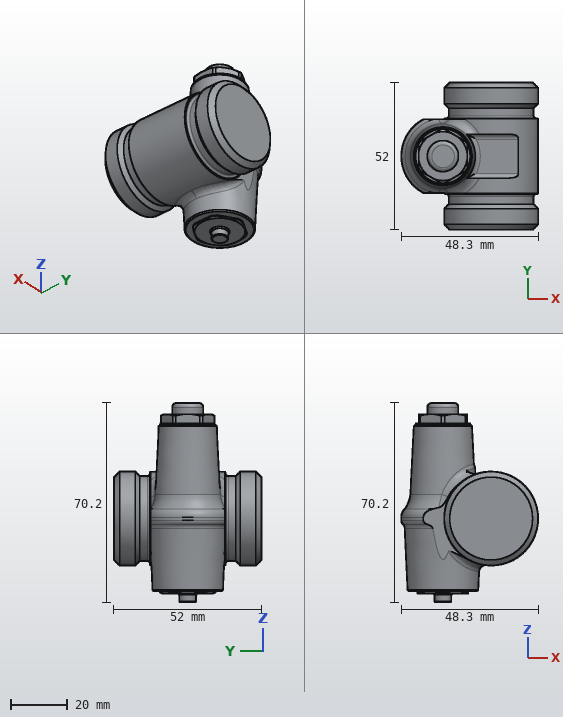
import cadquery as cq
import math

TOWER_X = -17.0

COLLAR_RADIUS = 16.6
COLLAR_CHAMFER = 2.0
COLLAR_LAND = 5.5
RUN_HALF_LENGTH = 26.0
NECK_RADIUS = 15.0
BARREL_RADIUS = 16.5
BARREL_HALF_LENGTH = 13.4
BARREL_EDGE = 0.3
NECK_FILLET = 0.8

FLAT_HALF_WIDTH = 13.0
UPPER_TOP_Z = 33.0
UPPER_TOP_RADIUS = 10.3
UPPER_BASE_Z = 8.6
UPPER_BASE_RADIUS = 11.5
GIRDLE_RADIUS = 14.69
GIRDLE_TOP_Z = 0.5
GIRDLE_BOTTOM_Z = -0.6
LOWER_TOP_Z = -3.5
LOWER_TOP_RADIUS = 13.5
LOWER_BASE_Z = -25.6
LOWER_BASE_RADIUS = 12.5
SLEEVE_EDGE = 0.5
UPPER_BLEND = 3.2
LOWER_BLEND = 2.4

ABOVE_GIRDLE_MID = (14.4, 2.0)
FLARE_END = (13.4, 3.4)
FLARE_MID = (12.15, 5.7)
BELOW_GIRDLE_MID = (14.55, -1.4)
FOOT_END = (14.15, -2.0)
FOOT_MID = (13.65, -2.7)

WASHER_RADIUS = 9.6
HEX_BASE_Z = 33.6
HEX_TOP_Z = 36.7
HEX_ACROSS_FLATS = 17.0
HEX_CORNER_RADIUS = 9.5
HEX_TOP_RADIUS = 8.6
HEX_CHAMFER_ANGLE = 30.0
KNOB_RADIUS = 5.5
KNOB_TOP_Z = 40.7
KNOB_FILLET = 1.5

PLUG_BASE_Z = -26.4
PLUG_RADIUS = 9.8
PLUG_CHAMFER_Z = -26.0
PLUG_FACE_RADIUS = 8.9
PLUG_ACROSS_FLATS = 18.0
STEM_RADIUS = 3.0
STEM_FOOT_RADIUS = 3.5
STEM_FOOT_Z = -26.9
STEM_BASE_Z = -29.5
STEM_CHAMFER = 0.3

PANEL_FLOOR_Z = 13.4
PANEL_MAX_X = 14.0
PANEL_HALF_WIDTH = 7.7
PANEL_TOWER_RADIUS = 11.4
PANEL_FILLET = 1.7


def turn_about_run(points):
    """Solid of revolution about the run axis from (radius, y) corner points."""
    return cq.Workplane("XY").polyline(points).close().revolve(360, (0, 0, 0), (0, 1, 0))


def turn_about_tower(points):
    """Solid of revolution about the tower axis from (radius, z) corner points."""
    return (
        cq.Workplane("XZ")
        .polyline(points)
        .close()
        .revolve(360, (0, 0, 0), (0, 1, 0))
        .translate((TOWER_X, 0, 0))
    )


def make_run():
    """Barrel, and at each end a neck groove and a chamfered collar."""
    barrel = turn_about_run([
        (0, -BARREL_HALF_LENGTH),
        (BARREL_RADIUS - BARREL_EDGE, -BARREL_HALF_LENGTH),
        (BARREL_RADIUS, BARREL_EDGE - BARREL_HALF_LENGTH),
        (BARREL_RADIUS, BARREL_HALF_LENGTH - BARREL_EDGE),
        (BARREL_RADIUS - BARREL_EDGE, BARREL_HALF_LENGTH),
        (0, BARREL_HALF_LENGTH),
    ])
    collar_start = RUN_HALF_LENGTH - COLLAR_CHAMFER - COLLAR_LAND
    collar = (
        cq.Workplane("XY")
        .moveTo(0, BARREL_HALF_LENGTH)
        .lineTo(NECK_RADIUS + NECK_FILLET, BARREL_HALF_LENGTH)
        .radiusArc((NECK_RADIUS, BARREL_HALF_LENGTH + NECK_FILLET), NECK_FILLET)
        .lineTo(NECK_RADIUS, collar_start - (COLLAR_RADIUS - NECK_RADIUS))
        .lineTo(COLLAR_RADIUS, collar_start)
        .lineTo(COLLAR_RADIUS, collar_start + COLLAR_LAND)
        .lineTo(COLLAR_RADIUS - COLLAR_CHAMFER, RUN_HALF_LENGTH)
        .lineTo(0, RUN_HALF_LENGTH)
        .close()
        .revolve(360, (0, 0, 0), (0, 1, 0))
    )
    return barrel.union(collar).union(collar.mirror("XZ"))


def make_tower():
    """Upper and lower tapered sleeves joined by the rounded girdle."""
    return (
        cq.Workplane("XZ")
        .moveTo(0, LOWER_BASE_Z)
        .lineTo(LOWER_BASE_RADIUS - SLEEVE_EDGE, LOWER_BASE_Z)
        .lineTo(LOWER_BASE_RADIUS, LOWER_BASE_Z + SLEEVE_EDGE)
        .lineTo(LOWER_TOP_RADIUS, LOWER_TOP_Z)
        .threePointArc(FOOT_MID, FOOT_END)
        .threePointArc(BELOW_GIRDLE_MID, (GIRDLE_RADIUS, GIRDLE_BOTTOM_Z))
        .lineTo(GIRDLE_RADIUS, GIRDLE_TOP_Z)
        .threePointArc(ABOVE_GIRDLE_MID, FLARE_END)
        .threePointArc(FLARE_MID, (UPPER_BASE_RADIUS, UPPER_BASE_Z))
        .lineTo(UPPER_TOP_RADIUS, UPPER_TOP_Z - SLEEVE_EDGE)
        .lineTo(UPPER_TOP_RADIUS - SLEEVE_EDGE, UPPER_TOP_Z)
        .lineTo(0, UPPER_TOP_Z)
        .close()
        .revolve(360, (0, 0, 0), (0, 1, 0))
        .translate((TOWER_X, 0, 0))
    )


def make_plain_barrel():
    """Barrel left longer than the tower is wide, so each seam closes around the tower."""
    return (
        cq.Workplane("XZ", origin=(0, RUN_HALF_LENGTH, 0))
        .circle(BARREL_RADIUS)
        .extrude(2 * RUN_HALF_LENGTH)
    )


def make_lower_sleeve():
    """Lower sleeve alone, its taper continued up to the run axis."""
    taper = (LOWER_TOP_RADIUS - LOWER_BASE_RADIUS) / (LOWER_TOP_Z - LOWER_BASE_Z)
    axis_radius = LOWER_TOP_RADIUS - taper * LOWER_TOP_Z
    return turn_about_tower([
        (0, LOWER_BASE_Z),
        (LOWER_BASE_RADIUS - SLEEVE_EDGE, LOWER_BASE_Z),
        (LOWER_BASE_RADIUS, LOWER_BASE_Z + SLEEVE_EDGE),
        (axis_radius, 0),
        (0, 0),
    ])


def blend_seam(solid, z_low, z_high):
    """Select the tower-to-barrel seam edges centred between two heights."""
    seam = cq.selectors.BoxSelector(
        (TOWER_X, -RUN_HALF_LENGTH, z_low), (0, RUN_HALF_LENGTH, z_high)
    )
    return solid.edges("%BSPLINE").edges(seam)


def make_junction():
    """Tower blended into the barrel above and below, trimmed to the side flats."""
    barrel = make_plain_barrel()
    upper = barrel.union(make_tower())
    upper = blend_seam(upper, FLARE_END[1], BARREL_RADIUS).fillet(UPPER_BLEND)
    lower = barrel.union(make_lower_sleeve())
    lower = blend_seam(lower, -BARREL_RADIUS, 0).fillet(LOWER_BLEND)
    width = 2 * FLAT_HALF_WIDTH
    span = 2 * (GIRDLE_RADIUS - TOWER_X)
    upper_trim = cq.Workplane("XY").box(span, width, 2 * span)
    lower_trim = (
        cq.Workplane("XY", origin=(0, 0, LOWER_TOP_Z))
        .rect(span, width)
        .extrude(-span)
    )
    return upper.intersect(upper_trim).union(lower.intersect(lower_trim))


def make_panel_recess():
    """Cutter for the label panel: flat floor, upright sides, and a round wall hugging the tower."""
    length = PANEL_MAX_X - TOWER_X
    tower_keep = (
        cq.Workplane("XY", origin=(TOWER_X, 0, PANEL_FLOOR_Z))
        .circle(PANEL_TOWER_RADIUS)
        .extrude(BARREL_RADIUS)
    )
    return (
        cq.Workplane("XY", origin=(TOWER_X + length / 2, 0, PANEL_FLOOR_Z))
        .rect(length, 2 * PANEL_HALF_WIDTH)
        .extrude(BARREL_RADIUS)
        .cut(tower_keep)
        .faces("<Z")
        .edges()
        .fillet(PANEL_FILLET)
    )


def make_hexagon(across_flats, base_z, height):
    """Hexagonal prism on the tower axis with corners on the Y sides."""
    across_corners = across_flats / math.cos(math.pi / 6)
    return (
        cq.Workplane("XY", origin=(TOWER_X, 0, base_z))
        .transformed(rotate=(0, 0, 30))
        .polygon(6, across_corners)
        .extrude(height)
    )


def make_cap():
    """Washer, chamfered hexagon and rounded knob on top of the tower."""
    washer = (
        cq.Workplane("XY", origin=(TOWER_X, 0, UPPER_TOP_Z))
        .circle(WASHER_RADIUS)
        .extrude(HEX_BASE_Z - UPPER_TOP_Z)
    )
    chamfer_drop = (HEX_CORNER_RADIUS - HEX_TOP_RADIUS) * math.tan(math.radians(HEX_CHAMFER_ANGLE))
    chamfer_cone = turn_about_tower([
        (0, HEX_BASE_Z),
        (HEX_CORNER_RADIUS, HEX_BASE_Z),
        (HEX_CORNER_RADIUS, HEX_TOP_Z - chamfer_drop),
        (HEX_TOP_RADIUS, HEX_TOP_Z),
        (0, HEX_TOP_Z),
    ])
    hexagon = make_hexagon(HEX_ACROSS_FLATS, HEX_BASE_Z, HEX_TOP_Z - HEX_BASE_Z)
    knob = (
        cq.Workplane("XY", origin=(TOWER_X, 0, HEX_TOP_Z))
        .circle(KNOB_RADIUS)
        .extrude(KNOB_TOP_Z - HEX_TOP_Z)
        .faces(">Z")
        .edges()
        .fillet(KNOB_FILLET)
    )
    return washer.union(hexagon.intersect(chamfer_cone)).union(knob)


def make_plug():
    """Shallow chamfered plug and flared, chamfered stem below the tower."""
    plug = make_hexagon(PLUG_ACROSS_FLATS, PLUG_BASE_Z, LOWER_BASE_Z - PLUG_BASE_Z)
    chamfer_cone = turn_about_tower([
        (0, LOWER_BASE_Z),
        (PLUG_RADIUS, LOWER_BASE_Z),
        (PLUG_RADIUS, PLUG_CHAMFER_Z),
        (PLUG_FACE_RADIUS, PLUG_BASE_Z),
        (0, PLUG_BASE_Z),
    ])
    stem = turn_about_tower([
        (0, PLUG_BASE_Z),
        (STEM_FOOT_RADIUS, PLUG_BASE_Z),
        (STEM_RADIUS, STEM_FOOT_Z),
        (STEM_RADIUS, STEM_BASE_Z + STEM_CHAMFER),
        (STEM_RADIUS - STEM_CHAMFER, STEM_BASE_Z),
        (0, STEM_BASE_Z),
    ])
    return plug.intersect(chamfer_cone).union(stem)


body = make_run().union(make_junction()).cut(make_panel_recess())
result = body.union(make_cap()).union(make_plug())